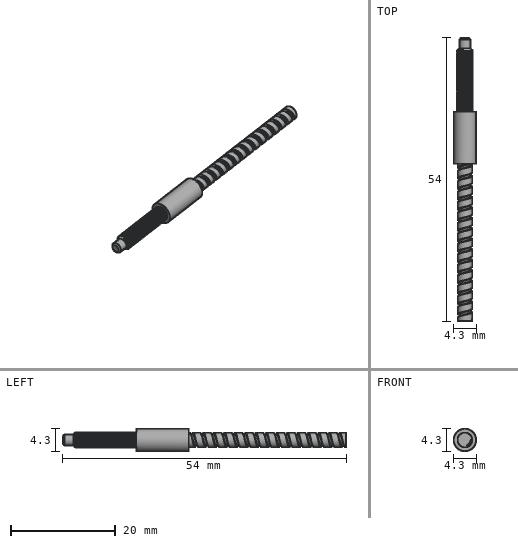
import cadquery as cq

total_length = 54.0
rod_length = 29.95
collar_length = 10.0
tip_length = 2.0
collar_end = rod_length + collar_length
thread_length = total_length - collar_end - tip_length

rod_diameter = 2.8
collar_diameter = 4.3
thread_diameter = 3.0
tip_diameter = 2.15

groove_turns = 15
groove_pitch = rod_length / groove_turns
groove_depth = 0.3
groove_top_width = 0.7
groove_bottom_width = 0.45

thread_pitch = 0.5
thread_depth = 0.25
thread_top_width = 0.295
thread_root_width = 0.05
run_out = 1.6

thread_chamfer = (thread_diameter - tip_diameter) / 2
tip_chamfer = 0.3

cutter_overlap = 0.05


def cylinder(diameter, length, start):
    """Cylinder on the Z axis, beginning at height start."""
    return cq.Workplane("XY").workplane(offset=start).circle(diameter / 2).extrude(length)


def groove_cutter(diameter, depth, top_width, bottom_width, pitch, length, start):
    """Right-handed helical trapezoid that begins on the +X side at height start."""
    radius = diameter / 2
    flank_slope = (top_width - bottom_width) / 2 / depth
    half_bottom = bottom_width / 2
    half_outer = top_width / 2 + flank_slope * cutter_overlap
    helix = cq.Wire.makeHelix(pitch, length, radius, center=cq.Vector(0, 0, start))
    return (
        cq.Workplane("XZ", origin=(0, 0, start))
        .moveTo(radius - depth, -half_bottom)
        .lineTo(radius + cutter_overlap, -half_outer)
        .lineTo(radius + cutter_overlap, half_outer)
        .lineTo(radius - depth, half_bottom)
        .close()
        .sweep(cq.Workplane(helix), isFrenet=True)
    )


def grooved_rod():
    rod = cylinder(rod_diameter, rod_length, 0)
    groove = groove_cutter(
        rod_diameter, groove_depth, groove_top_width, groove_bottom_width, groove_pitch, rod_length, 0
    )
    return rod.cut(groove)


def threaded_stud():
    blank = cylinder(thread_diameter, thread_length + 2 * run_out, collar_end - run_out)
    thread_groove = groove_cutter(
        thread_diameter,
        thread_depth,
        thread_top_width,
        thread_root_width,
        thread_pitch,
        thread_length + 2 * thread_pitch,
        collar_end - thread_pitch,
    )
    envelope = cylinder(thread_diameter, thread_length, collar_end).faces(">Z").chamfer(thread_chamfer)
    return blank.cut(thread_groove).intersect(envelope)


def plain_tip():
    tip = cylinder(tip_diameter, tip_length, total_length - tip_length)
    return tip.faces(">Z").chamfer(tip_chamfer)


collar = cylinder(collar_diameter, collar_length, rod_length)
shaft = collar.union(grooved_rod()).union(threaded_stud()).union(plain_tip())

result = shaft.rotate((0, 0, 0), (1, 0, 0), -90)